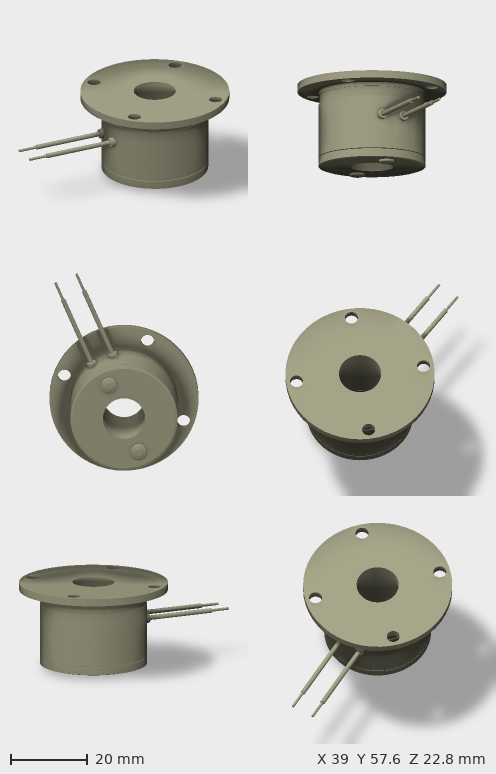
import cadquery as cq


OVERALL_LENGTH = 57.6
BORE_DIAMETER = 11.0

FLANGE_DIAMETER = 39.0
FLANGE_THICKNESS = 1.95
MOUNT_HOLE_DIAMETER = 3.4
MOUNT_HOLE_SPACING = 23.7
STEP_RADIUS = 13.95
STEP_HEIGHT = 1.05
NECK_RADIUS = 13.75
NECK_HEIGHT = 2.55
TUBE_RADIUS = 6.9

HOUSING_RADIUS = 14.0
HOUSING_HEIGHT = 13.95

AIR_GAP = 0.2
ARMATURE_HEIGHT = 2.25
ARMATURE_CHAMFER_WIDTH = 0.5
ARMATURE_CHAMFER_HEIGHT = 0.2

RIVET_OFFSET = 9.8
RIVET_SHANK_RADIUS = 1.05
RIVET_HEAD_RADIUS = 2.1
RIVET_RIM_HEIGHT = 0.3
RIVET_ROUND = 0.35
RIVET_CROWN_RADIUS = 0.85
RIVET_HEAD_HEIGHT = 0.85

LEAD_SPACING = 6.0
LEAD_DEPTH = 10.6
GROMMET_DIAMETER = 2.55
GROMMET_ROUND = 0.25
GROMMET_INNER_Y = -11.5
GROMMET_OUTER_Y = -14.75
INSULATION_DIAMETER = 1.2
INSULATION_END_Y = -33.1
CORE_DIAMETER = 0.7
CORE_END_Y = FLANGE_DIAMETER / 2 - OVERALL_LENGTH

flange_bottom = -FLANGE_THICKNESS
step_bottom = flange_bottom - STEP_HEIGHT
housing_top = step_bottom - NECK_HEIGHT
housing_bottom = housing_top - HOUSING_HEIGHT
armature_top = housing_bottom - AIR_GAP
armature_bottom = armature_top - ARMATURE_HEIGHT

lead_positions = [-LEAD_SPACING / 2, LEAD_SPACING / 2]
rivet_positions = [-RIVET_OFFSET, RIVET_OFFSET]


def disc(radius, top, bottom):
    """Cylinder on the Z axis between two levels."""
    return cq.Workplane("XY").workplane(offset=bottom).circle(radius).extrude(top - bottom)


def rod(diameter, x, start_y, end_y):
    """Cylinder at lead height that runs toward -Y from start_y to end_y."""
    plane = cq.Workplane("XZ", origin=(x, start_y, -LEAD_DEPTH))
    return plane.circle(diameter / 2).extrude(start_y - end_y)


def bore(top, bottom):
    """Cutter for the central bore."""
    return disc(BORE_DIAMETER / 2, top, bottom)


def make_flange():
    """Mounting flange, step, neck and the hub tube that carries the housing."""
    flange = disc(FLANGE_DIAMETER / 2, 0, flange_bottom)
    flange = (
        flange.faces(">Z").workplane()
        .rect(MOUNT_HOLE_SPACING, MOUNT_HOLE_SPACING, forConstruction=True)
        .vertices().hole(MOUNT_HOLE_DIAMETER)
    )
    flange = flange.union(disc(STEP_RADIUS, flange_bottom, step_bottom))
    flange = flange.union(disc(NECK_RADIUS, step_bottom, housing_top))
    flange = flange.union(disc(TUBE_RADIUS, housing_top, housing_bottom))
    return flange.cut(bore(0, housing_bottom))


def make_housing():
    """Coil housing with an opening for the hub tube and a pocket for each grommet."""
    housing = disc(HOUSING_RADIUS, housing_top, housing_bottom)
    housing = housing.cut(disc(TUBE_RADIUS, housing_top, housing_bottom))
    for x in lead_positions:
        housing = housing.cut(rod(GROMMET_DIAMETER, x, GROMMET_INNER_Y, GROMMET_OUTER_Y))
    return housing


def make_armature():
    """Armature disc with a shallow chamfer at its lower rim and holes for the rivets."""
    armature = disc(HOUSING_RADIUS, armature_top, armature_bottom)
    armature = armature.faces("<Z").edges().chamfer(ARMATURE_CHAMFER_HEIGHT, ARMATURE_CHAMFER_WIDTH)
    armature = armature.cut(bore(armature_top, armature_bottom))
    for y in rivet_positions:
        armature = armature.cut(disc(RIVET_SHANK_RADIUS, armature_top, armature_bottom).translate((0, y, 0)))
    return armature


def make_rivet(y):
    """Rivet whose shank fills the armature hole and whose rounded head stands below it."""
    rim_bottom = armature_bottom - RIVET_RIM_HEIGHT
    head_bottom = armature_bottom - RIVET_HEAD_HEIGHT
    profile = (
        cq.Workplane("XZ")
        .moveTo(0, armature_top)
        .lineTo(RIVET_SHANK_RADIUS, armature_top)
        .lineTo(RIVET_SHANK_RADIUS, armature_bottom)
        .lineTo(RIVET_HEAD_RADIUS, armature_bottom)
        .lineTo(RIVET_HEAD_RADIUS, rim_bottom)
        .radiusArc((RIVET_HEAD_RADIUS - RIVET_ROUND, rim_bottom - RIVET_ROUND), RIVET_ROUND)
        .lineTo(RIVET_CROWN_RADIUS, head_bottom)
        .lineTo(0, head_bottom)
        .close()
    )
    return profile.revolve(360, (0, 0, 0), (0, 1, 0)).translate((0, y, 0))


def make_grommet(x):
    """Round grommet bored for the wire, with both edges of its outer face rounded."""
    grommet = rod(GROMMET_DIAMETER, x, GROMMET_INNER_Y, GROMMET_OUTER_Y)
    grommet = grommet.cut(rod(INSULATION_DIAMETER, x, GROMMET_INNER_Y, GROMMET_OUTER_Y))
    return grommet.faces("<Y").edges().fillet(GROMMET_ROUND)


def make_wire(x):
    """Insulated wire that ends in a bare core."""
    insulation = rod(INSULATION_DIAMETER, x, GROMMET_INNER_Y, INSULATION_END_Y)
    return insulation.union(rod(CORE_DIAMETER, x, INSULATION_END_Y, CORE_END_Y))


flange = make_flange()
housing = make_housing()
armature = make_armature()
rivets = [make_rivet(y).val() for y in rivet_positions]
grommets = [make_grommet(x).val() for x in lead_positions]
wires = [make_wire(x).val() for x in lead_positions]

result = cq.Compound.makeCompound(
    [flange.val(), housing.val(), armature.val(), *rivets, *grommets, *wires]
)